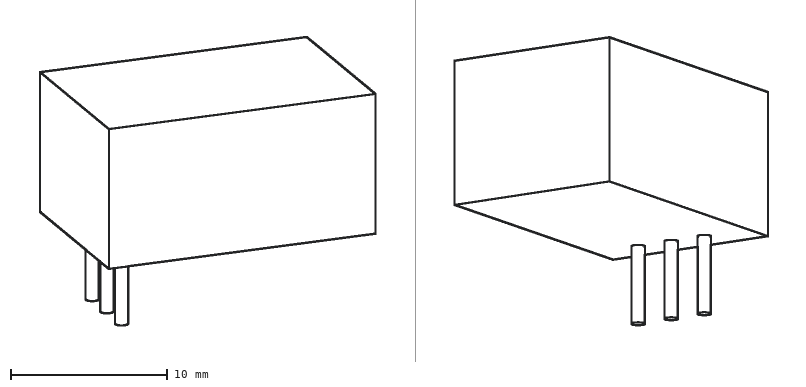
import cadquery as cq

HOUSING_WIDTH = 11.9
HOUSING_LENGTH = 18.4
TOTAL_HEIGHT = 14.6
PIN_LENGTH = 5.1
HOUSING_HEIGHT = TOTAL_HEIGHT - PIN_LENGTH

PIN_DIAMETER = 0.86
PIN_PITCH = 2.54
PIN_COUNT = 3
PIN_END_DISTANCE = 2.25
PIN_ROW_Y = PIN_END_DISTANCE - HOUSING_LENGTH / 2


def make_housing():
    """Rectangular block centred in X and Y, with its underside at Z = 0."""
    return cq.Workplane("XY").box(
        HOUSING_WIDTH, HOUSING_LENGTH, HOUSING_HEIGHT, centered=(True, True, False)
    )


def make_pin(x):
    """Round pin hanging from the housing underside."""
    return (
        cq.Workplane("XY")
        .center(x, PIN_ROW_Y)
        .circle(PIN_DIAMETER / 2)
        .extrude(-PIN_LENGTH)
    )


housing = make_housing()
pins = []
for index in range(PIN_COUNT):
    pin_x = (index - (PIN_COUNT - 1) / 2) * PIN_PITCH
    pins.append(make_pin(pin_x))

result = cq.Compound.makeCompound([housing.val(), *[pin.val() for pin in pins]])